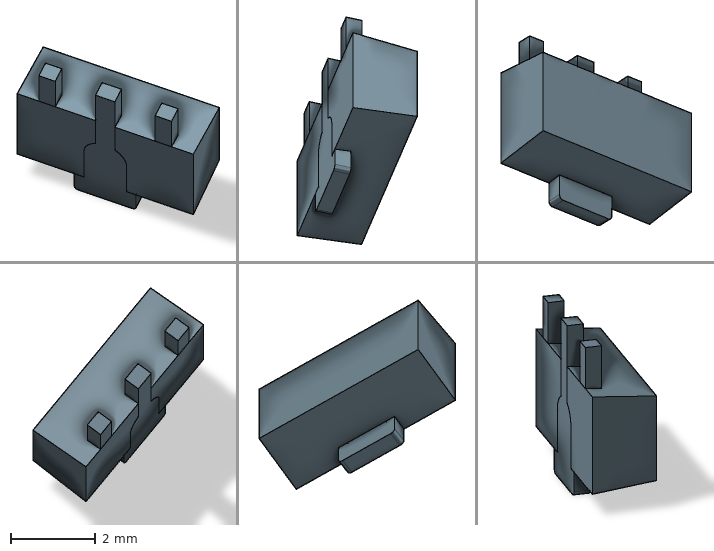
import cadquery as cq
import math

housing_length = 4.55
housing_depth = 1.6
housing_height = 2.5
end_taper = 0.165

lead_thickness = 0.4
lead_projection = 1.05
lead_pitch = 1.5
side_lead_width = 0.425
lead_top = housing_height + lead_projection

stem_width = 0.5
head_width = 1.1
head_radius = head_width / 2
dome_base = 1.06
tab_width = 1.6
tab_projection = 0.62
tab_corner_radius = 0.115


def slab(width, bottom, top):
    """Centred upright bar of lead thickness, set behind the front face."""
    return cq.Workplane("XY").box(
        width, lead_thickness, top - bottom, centered=(True, False, False)
    ).translate((0, 0, bottom))


def make_housing_block():
    """Solid block whose top and bottom faces taper toward the back."""
    return (
        cq.Workplane("YZ")
        .polyline([
            (0, 0),
            (housing_depth, end_taper),
            (housing_depth, housing_height - end_taper),
            (0, housing_height),
        ])
        .close()
        .extrude(housing_length / 2, both=True)
    )


def make_embedded_lead():
    """Stem and domed head of the centre lead, down to the tab."""
    stem_half = stem_width / 2
    dome_end = dome_base + math.sqrt(head_radius**2 - stem_half**2)
    mid_angle = math.acos(stem_half / head_radius) / 2
    arc_mid_x = head_radius * math.cos(mid_angle)
    arc_mid_z = dome_base + head_radius * math.sin(mid_angle)
    return (
        cq.Workplane("XZ")
        .moveTo(-head_radius, -tab_projection / 2)
        .lineTo(head_radius, -tab_projection / 2)
        .lineTo(head_radius, dome_base)
        .threePointArc((arc_mid_x, arc_mid_z), (stem_half, dome_end))
        .lineTo(stem_half, lead_top)
        .lineTo(-stem_half, lead_top)
        .lineTo(-stem_half, dome_end)
        .threePointArc((-arc_mid_x, arc_mid_z), (-head_radius, dome_base))
        .close()
        .extrude(-lead_thickness)
    )


def make_center_lead(block):
    """Embedded lead joined to a tab that fits the sloping bottom face."""
    tab = slab(tab_width, -tab_projection, end_taper)
    tab = tab.edges("|Y and <Z").fillet(tab_corner_radius)
    return tab.cut(block).union(make_embedded_lead())


def make_side_lead(block, x):
    """Plain lead that stands on the sloping top face."""
    lead = slab(side_lead_width, housing_height - end_taper, lead_top)
    return lead.translate((x, 0, 0)).cut(block)


housing_block = make_housing_block()
center_lead = make_center_lead(housing_block)
housing = housing_block.cut(center_lead)
side_leads = [make_side_lead(housing_block, side * lead_pitch) for side in (-1, 1)]

result = cq.Compound.makeCompound([
    housing.val(),
    center_lead.val(),
    *[lead.val() for lead in side_leads],
])